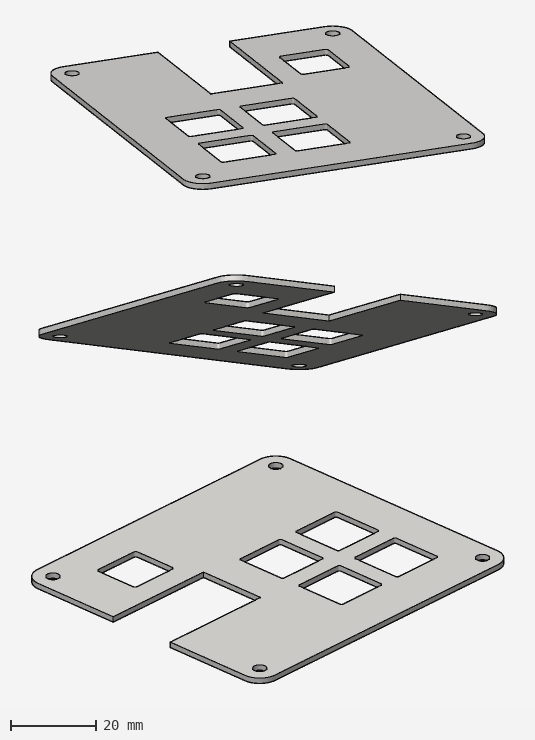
import cadquery as cq

length = 86.2
width = 77.0
thickness = 1.5
corner_radius = 5.0

hole_diameter = 3.4
hole_spacing_x = length - 2 * corner_radius
hole_spacing_y = width - 2 * corner_radius

notch_depth = 30.85
notch_width = 18.4

square_size = 14.05
square_pitch = 19.05
square_count = 2
square_group_center = (14.7, -9.05)
square_corner_radius = 0.5

window_length = 13.4
window_width = 12.5
window_center = (-22.2, 21.8)
window_corner_radius = 0.8


def window_cutter(size_x, size_y, radius):
    """Rounded rectangular prism as deep as the plate, centred at the origin in X and Y."""
    block = cq.Workplane("XY").rect(size_x, size_y).extrude(thickness)
    return block.edges("|Z").fillet(radius)


plate = cq.Workplane("XY").rect(length, width).extrude(thickness)
plate = plate.edges("|Z").fillet(corner_radius)

mounting_holes = (
    cq.Workplane("XY")
    .rect(hole_spacing_x, hole_spacing_y, forConstruction=True)
    .vertices()
    .circle(hole_diameter / 2)
    .extrude(thickness)
)

notch = (
    cq.Workplane("XY")
    .center((notch_depth - length) / 2, 0)
    .rect(notch_depth, notch_width)
    .extrude(thickness)
)

result = plate.cut(mounting_holes).cut(notch)

square = window_cutter(square_size, square_size, square_corner_radius)
for column in range(square_count):
    for row in range(square_count):
        x = square_group_center[0] + (column - (square_count - 1) / 2) * square_pitch
        y = square_group_center[1] + (row - (square_count - 1) / 2) * square_pitch
        result = result.cut(square.translate((x, y, 0)))

window = window_cutter(window_length, window_width, window_corner_radius)
result = result.cut(window.translate((*window_center, 0)))